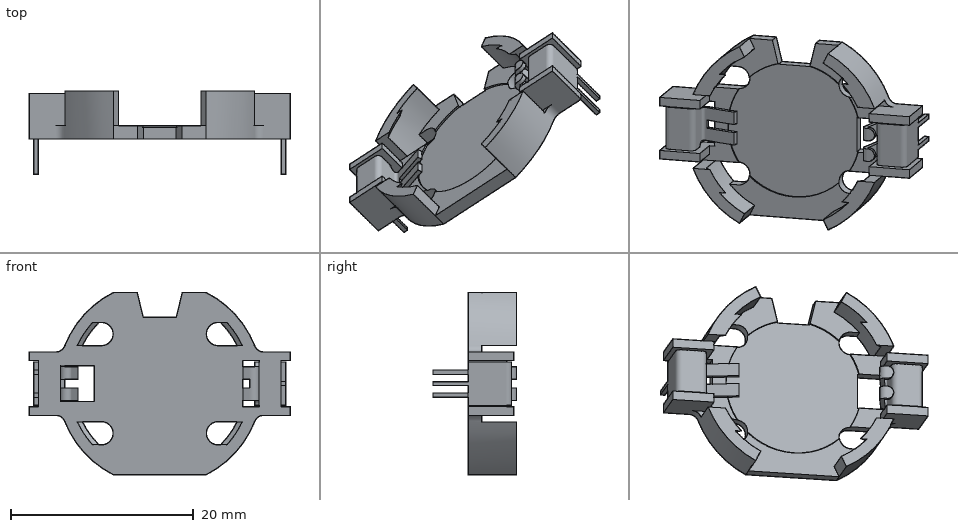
import cadquery as cq
import math


LENGTH = 28.6
FLAT_SPACING = 20.0
FLAT_HALF = FLAT_SPACING / 2
RIM_RADIUS = 11.2
CELL_RADIUS = 9.95
PLATE_HEIGHT = 1.5
RECESS_RADIUS = 7.58
RECESS_DEPTH = 0.2
RIM_HEIGHT = 5.3
RIM_END_Z = 4.18
NOTCH_TOP_HALF = 2.45
NOTCH_BOTTOM_HALF = 1.8
NOTCH_DEPTH = 2.72

TAB_HALF_WIDTH = 3.5
TAB_HEIGHT = 5.0
TAB_FILLET = 1.0
POCKET_HALF_WIDTH = 2.52
CHEEK_INNER_X = 9.7
WALL_OUTER_X = 13.3
WALL_INNER_X = 10.9
WALL_HEIGHT = 4.23
LEFT_WINDOW_END_X = 7.18
LEFT_WINDOW_HALF = 1.95
RIGHT_WINDOW_END_X = 9.1

HOLE_RADIUS = 1.25
HOLE_CENTRE_X = 6.38
HOLE_CENTRE_Z = 5.43
CLIP_RADIUS = 9.45
CLIP_DEPTH = 0.51

THICKNESS = 0.51
HOOK_INNER = 0.1
STRIP_HALF_WIDTH = 2.37
SPRING_HALF_WIDTH = 1.85
FINGER_GAP_HALF = 0.45
NARROWING_RADIUS = STRIP_HALF_WIDTH - SPRING_HALF_WIDTH
NARROWING_Y = 2.15
PIN_LENGTH = 3.85
LEFT_PIN_WIDTH = 0.51
LEFT_PIN_Z = 1.25
RIGHT_PIN_WIDTH = 0.43
LEFT_BEND_INNER = 0.11
LEFT_BEND_Y = 1.95
LEFT_FOLD_X = -8.95
RIGHT_BEND_INNER = 0.3
RIGHT_BEND_Y = 2.05
RIGHT_SPRING_ANGLE = 16.0
RIGHT_TIP_X = 6.3
RIGHT_GAP_X = 9.85

UPPER_BEND_Y = WALL_HEIGHT - HOOK_INNER
STRIP_INNER_X = WALL_INNER_X - THICKNESS
SIDES = (-1, 1)


def box(x0, x1, y0, y1, z0, z1):
    return cq.Workplane("XY").box(x1 - x0, y1 - y0, z1 - z0, centered=False).translate((x0, y0, z0))


def mirrored_box(x0, x1, y0, y1, half_width):
    return box(x0, x1, y0, y1, -half_width, half_width)


def floor_plan(y):
    """Workplane at height y whose local axes are X and -Z and whose normal is +Y."""
    return cq.Workplane(cq.Plane(origin=(0, y, 0), xDir=(1, 0, 0), normal=(0, 1, 0)))


def disc(radius, y0, y1):
    return floor_plan(y0).circle(radius).extrude(y1 - y0)


def union_of(shapes):
    """One shape made of pieces of the same body."""
    joined = shapes[0]
    for shape in shapes[1:]:
        joined = joined.union(shape)
    return joined


def make_plate():
    half_length = LENGTH / 2
    plate = disc(RIM_RADIUS, 0, PLATE_HEIGHT)
    plate = plate.intersect(mirrored_box(-half_length, half_length, 0, PLATE_HEIGHT, FLAT_HALF))
    plate = plate.union(mirrored_box(-half_length, half_length, 0, PLATE_HEIGHT, TAB_HALF_WIDTH))
    tab_root_x = math.sqrt(RIM_RADIUS**2 - TAB_HALF_WIDTH**2)
    for x in (-tab_root_x, tab_root_x):
        for z in (-TAB_HALF_WIDTH, TAB_HALF_WIDTH):
            corner = cq.selectors.NearestToPointSelector((x, PLATE_HEIGHT / 2, z))
            plate = plate.edges(corner).fillet(TAB_FILLET)
    notch = (
        floor_plan(0)
        .polyline([
            (-NOTCH_TOP_HALF, -FLAT_HALF),
            (NOTCH_TOP_HALF, -FLAT_HALF),
            (NOTCH_BOTTOM_HALF, NOTCH_DEPTH - FLAT_HALF),
            (-NOTCH_BOTTOM_HALF, NOTCH_DEPTH - FLAT_HALF),
        ])
        .close()
        .extrude(PLATE_HEIGHT)
    )
    return plate.cut(notch)


def make_rim():
    """Four curved walls, each from RIM_END_Z to a radial end at the corner of the flat."""
    ring = disc(RIM_RADIUS, 0, RIM_HEIGHT)
    flat_half_width = math.sqrt(RIM_RADIUS**2 - FLAT_HALF**2)
    radial_slope = flat_half_width / FLAT_HALF
    sectors = []
    for side in SIDES:
        for end in SIDES:
            outline = floor_plan(0).polyline([
                (side * RIM_END_Z * radial_slope, end * RIM_END_Z),
                (side * RIM_RADIUS * radial_slope, end * RIM_RADIUS),
                (side * RIM_RADIUS, end * RIM_RADIUS),
                (side * RIM_RADIUS, end * RIM_END_Z),
            ])
            sectors.append(outline.close().extrude(RIM_HEIGHT))
    return union_of([ring.intersect(sector) for sector in sectors])


def make_clips():
    """Inward lips with a conical underside, one above each moulding hole."""
    start_y = RIM_HEIGHT - CLIP_DEPTH
    outer_radius = (CELL_RADIUS + RIM_RADIUS) / 2
    section = [
        (CELL_RADIUS, start_y),
        (CLIP_RADIUS, RIM_HEIGHT),
        (outer_radius, RIM_HEIGHT),
        (outer_radius, start_y),
    ]
    lip = cq.Workplane("XY").polyline(section).close().revolve(360, (0, 0, 0), (0, 1, 0))
    clips = []
    for end in SIDES:
        z0 = end * HOLE_CENTRE_Z - HOLE_RADIUS
        z1 = end * HOLE_CENTRE_Z + HOLE_RADIUS
        clips.append(lip.intersect(box(-RIM_RADIUS, RIM_RADIUS, 0, RIM_HEIGHT, z0, z1)))
    return union_of(clips)


def make_hole(side, end):
    """D-shaped hole, round towards the middle and bounded outside by the cell cavity."""
    length = CELL_RADIUS - HOLE_CENTRE_X
    centre_z = end * HOLE_CENTRE_Z
    round_end = floor_plan(0).center(side * HOLE_CENTRE_X, -centre_z).circle(HOLE_RADIUS)
    hole = round_end.extrude(PLATE_HEIGHT)
    straight = (
        floor_plan(0)
        .center(side * (HOLE_CENTRE_X + length / 2), -centre_z)
        .rect(length, 2 * HOLE_RADIUS)
        .extrude(PLATE_HEIGHT)
    )
    return hole.union(straight).intersect(disc(CELL_RADIUS, 0, PLATE_HEIGHT))


def make_tab_blocks():
    """Raised tabs: two cheeks and, between them, the wall that carries the contact."""
    blocks = []
    for side in SIDES:
        x0, x1 = sorted((side * CHEEK_INNER_X, side * LENGTH / 2))
        cheeks = mirrored_box(x0, x1, 0, TAB_HEIGHT, TAB_HALF_WIDTH)
        blocks.append(cheeks.cut(mirrored_box(x0, x1, PLATE_HEIGHT, TAB_HEIGHT, POCKET_HALF_WIDTH)))
        x0, x1 = sorted((side * WALL_OUTER_X, side * WALL_INNER_X))
        wall = mirrored_box(x0, x1, 0, WALL_HEIGHT, POCKET_HALF_WIDTH)
        blocks.append(wall.edges("|Z and >Y").fillet(HOOK_INNER))
    return union_of(blocks)


def make_housing():
    housing = make_plate().union(make_tab_blocks())
    housing = housing.union(make_rim())
    housing = housing.cut(disc(CELL_RADIUS, PLATE_HEIGHT, RIM_HEIGHT))
    housing = housing.cut(disc(RECESS_RADIUS, PLATE_HEIGHT - RECESS_DEPTH, PLATE_HEIGHT))
    housing = housing.union(make_clips())
    for side in SIDES:
        for end in SIDES:
            housing = housing.cut(make_hole(side, end))
        x0, x1 = sorted((side * WALL_OUTER_X, side * LENGTH / 2))
        housing = housing.cut(mirrored_box(x0, x1, 0, TAB_HEIGHT, POCKET_HALF_WIDTH))
    housing = housing.cut(mirrored_box(-WALL_INNER_X, -LEFT_WINDOW_END_X, 0, PLATE_HEIGHT, LEFT_WINDOW_HALF))
    return housing.cut(mirrored_box(RIGHT_WINDOW_END_X, WALL_INNER_X, 0, PLATE_HEIGHT, POCKET_HALF_WIDTH))


def arc_point(centre, radius, degrees):
    angle = math.radians(degrees)
    return (centre[0] + radius * math.cos(angle), centre[1] + radius * math.sin(angle))


def bend(profile, centre, radius, start, end):
    """Line to the start of an arc about centre, then the arc to its end (angles in degrees)."""
    profile = profile.lineTo(*arc_point(centre, radius, start))
    return profile.threePointArc(
        arc_point(centre, radius, (start + end) / 2),
        arc_point(centre, radius, end),
    )


def make_strip(bends, start, last):
    """Bent strip of constant thickness, as wide as its widest part.

    Each bend is (centre, inner radius, start angle, end angle); a falling angle turns right.
    start and last hold the left and the right corner of each end of the strip.
    """
    profile = cq.Workplane("XY").moveTo(*start[0])
    for centre, inner, a0, a1 in bends:
        left_radius = inner + THICKNESS if a1 < a0 else inner
        profile = bend(profile, centre, left_radius, a0, a1)
    profile = profile.lineTo(*last[0]).lineTo(*last[1])
    for centre, inner, a0, a1 in reversed(bends):
        right_radius = inner if a1 < a0 else inner + THICKNESS
        profile = bend(profile, centre, right_radius, a1, a0)
    profile = profile.lineTo(*start[1]).close()
    return profile.extrude(STRIP_HALF_WIDTH, both=True)


def hook_bends():
    """The two bends over the top of the wall of the left tab."""
    return [
        ((-WALL_OUTER_X + HOOK_INNER, UPPER_BEND_Y), HOOK_INNER, 180, 90),
        ((-WALL_INNER_X - HOOK_INNER, UPPER_BEND_Y), HOOK_INNER, 90, 0),
    ]


def hook_start():
    return (-WALL_OUTER_X - THICKNESS, 0), (-WALL_OUTER_X, 0)


def narrow_spring(strip):
    """Trim the strip beyond the hook to the spring width, with a rounded shoulder on each side."""
    for end in SIDES:
        z0, z1 = sorted((end * SPRING_HALF_WIDTH, end * STRIP_HALF_WIDTH))
        below_shoulder = box(-WALL_INNER_X, 0, 0, NARROWING_Y, z0, z1)
        beside_spring = box(-STRIP_INNER_X, 0, 0, RIM_HEIGHT, z0, z1)
        shoulder = (
            cq.Workplane("YZ", origin=(-WALL_INNER_X, 0, 0))
            .center(NARROWING_Y, end * STRIP_HALF_WIDTH)
            .circle(NARROWING_RADIUS)
            .extrude(THICKNESS)
        )
        strip = strip.cut(below_shoulder).cut(beside_spring).cut(shoulder)
    return strip


def make_pin(z, width):
    return box(-WALL_OUTER_X - THICKNESS, -WALL_OUTER_X, -PIN_LENGTH, 0, z - width / 2, z + width / 2)


def make_left_contact():
    """Hook, lower bend, steep spring, and a fold at the top into two round-ended fingers."""
    outer_radius = LEFT_BEND_INNER + THICKNESS
    lower = (-WALL_INNER_X + outer_radius, LEFT_BEND_Y)
    fold = (LEFT_FOLD_X - outer_radius, RIM_HEIGHT - outer_radius)
    spring_angle = math.degrees(math.atan2(fold[1] - lower[1], fold[0] - lower[0]))
    bends = hook_bends() + [
        (lower, LEFT_BEND_INNER, 180, 270 + spring_angle),
        (fold, LEFT_BEND_INNER, spring_angle - 90, 90),
    ]
    tip_x = -STRIP_INNER_X
    tip_floor = RIM_HEIGHT - THICKNESS
    contact = make_strip(bends, hook_start(), ((tip_x, tip_floor), (tip_x, RIM_HEIGHT)))
    contact = narrow_spring(contact)

    contact = contact.cut(mirrored_box(-WALL_INNER_X, 0, 0, NARROWING_Y, FINGER_GAP_HALF))
    contact = contact.cut(mirrored_box(tip_x, 0, 0, RIM_HEIGHT, FINGER_GAP_HALF))

    tip_radius = (SPRING_HALF_WIDTH - FINGER_GAP_HALF) / 2
    for side in SIDES:
        finger_z = side * (SPRING_HALF_WIDTH + FINGER_GAP_HALF) / 2
        corners = box(
            tip_x, tip_x + tip_radius, tip_floor, RIM_HEIGHT, finger_z - tip_radius, finger_z + tip_radius
        )
        round_tip = floor_plan(tip_floor).center(tip_x + tip_radius, -finger_z).circle(tip_radius)
        contact = contact.cut(corners.cut(round_tip.extrude(THICKNESS)))
        contact = contact.union(make_pin(side * LEFT_PIN_Z, LEFT_PIN_WIDTH))
    return contact


def make_right_contact():
    """Hook, lower bend and a gently rising spring split into two fingers; shaped on the left
    tab and then mirrored to the right one."""
    outer_radius = RIGHT_BEND_INNER + THICKNESS
    lower = (-WALL_INNER_X + outer_radius, RIGHT_BEND_Y)
    bend_end = 270 + RIGHT_SPRING_ANGLE
    bends = hook_bends() + [(lower, RIGHT_BEND_INNER, 180, bend_end)]
    inner_end = arc_point(lower, RIGHT_BEND_INNER, bend_end)
    outer_end = arc_point(lower, outer_radius, bend_end)
    run = -RIGHT_TIP_X - outer_end[0]
    rise = run * math.tan(math.radians(RIGHT_SPRING_ANGLE))
    tip = (inner_end[0] + run, inner_end[1] + rise), (outer_end[0] + run, outer_end[1] + rise)
    contact = narrow_spring(make_strip(bends, hook_start(), tip))
    contact = contact.cut(mirrored_box(-RIGHT_GAP_X, 0, 0, RIM_HEIGHT, FINGER_GAP_HALF))
    contact = contact.union(make_pin(0, RIGHT_PIN_WIDTH))
    return contact.mirror("YZ")


housing = make_housing()
left_contact = make_left_contact()
right_contact = make_right_contact()
bodies = [housing, left_contact, right_contact]
result = cq.Compound.makeCompound([body.solids().val() for body in bodies])